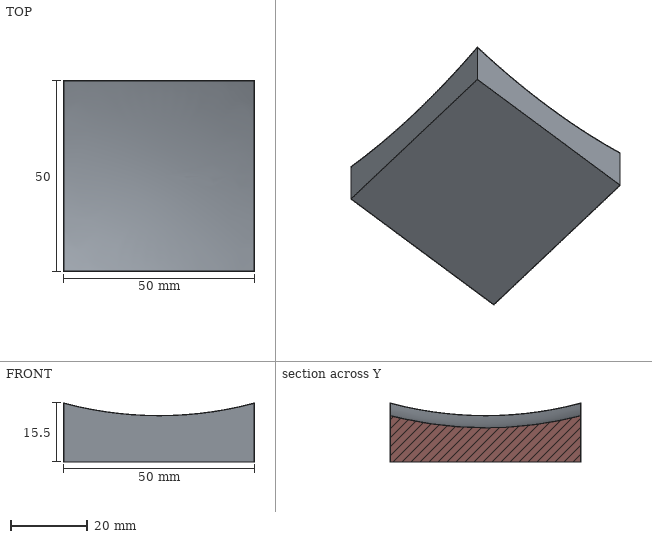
import cadquery as cq
import math

side = 50.0
centre_thickness = 9.0
dish_radius = 100.0

corner_distance = side / math.sqrt(2)
dish_rise = dish_radius - math.sqrt(dish_radius**2 - corner_distance**2)
block_height = centre_thickness + dish_rise


def make_block():
    """Square block with its base on Z = 0, reaching up to the corner height."""
    return cq.Workplane("XY").box(side, side, block_height, centered=(True, True, False))


def make_dish_cutter():
    """Sphere centred above the block that hollows out its whole top face."""
    sphere_centre_height = centre_thickness + dish_radius
    return cq.Workplane("XY").sphere(dish_radius).translate((0, 0, sphere_centre_height))


result = make_block().cut(make_dish_cutter())